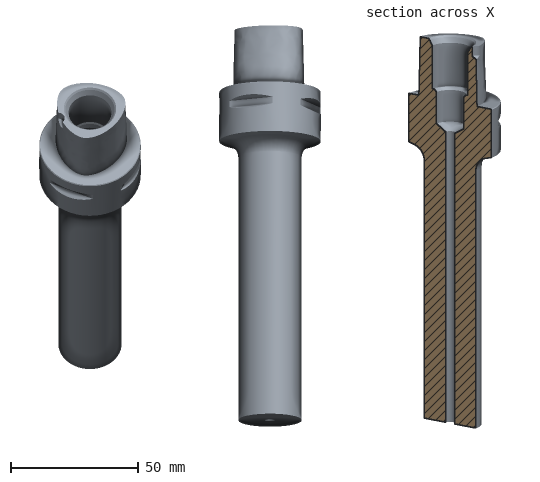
import cadquery as cq
import math

total_height = 156.0
taper_height = 24.0
flange_height = 20.0
flange_top = total_height - taper_height
flange_bottom = flange_top - flange_height

flange_radius = 20.0
flange_chamfer = 0.3
shank_radius = 12.5
neck_radius = 5.8
neck_cone_angle = 15.0

taper_base_radius = 14.0
taper_slope = 1 / 40
taper_top_radius = taper_base_radius - taper_height * taper_slope
lobe_height = 1.0

bore_mouth_radius = 10.3
mouth_chamfer = 0.6
lead_in_height = 2.0
bore_radius = 8.5
bore_depth = 20.3
drill_mouth_radius = 7.5
drill_chamfer = 1.1
drill_radius = drill_mouth_radius - drill_chamfer
drill_depth = 34.3
drill_tip_angle = 118.0
coolant_radius = 2.0

notch_radius = 2.7
notch_center_y = -13.4
notch_depth = 3.9
notch_tip_angle = 118.0

slot_count = 4
slot_height = 124.5
slot_floor_distance = 17.6
slot_floor_width = 2.5
slot_flank_angle = 30.0


def make_body():
    """Shank, concave neck and flange, revolved about Z."""
    slope = math.radians(neck_cone_angle)
    neck_end_x = shank_radius + neck_radius * (1 - math.sin(slope))
    underside_drop = (flange_radius - neck_end_x) * math.tan(slope)
    neck_end_z = flange_bottom - underside_drop
    neck_center_x = shank_radius + neck_radius
    neck_center_z = neck_end_z - neck_radius * math.cos(slope)
    middle_angle = (math.pi + math.pi / 2 + slope) / 2
    neck_middle = (
        neck_center_x + neck_radius * math.cos(middle_angle),
        neck_center_z + neck_radius * math.sin(middle_angle),
    )
    return (
        cq.Workplane("XZ")
        .lineTo(shank_radius, 0)
        .lineTo(shank_radius, neck_center_z)
        .threePointArc(neck_middle, (neck_end_x, neck_end_z))
        .lineTo(flange_radius, flange_bottom)
        .lineTo(flange_radius, flange_top - flange_chamfer)
        .lineTo(flange_radius - flange_chamfer, flange_top)
        .lineTo(0, flange_top)
        .close()
        .revolve(360, (0, 0), (0, 1))
    )


def lobe_point(turn, mean_radius):
    """Point of the three-lobed outline at the given turn (0 to 1) counterclockwise from -Y."""
    angle = 2 * math.pi * turn - math.pi / 2
    reach = mean_radius - lobe_height * math.sin(3 * angle)
    sideways = -3 * lobe_height * math.cos(3 * angle)
    return (
        reach * math.cos(angle) - sideways * math.sin(angle),
        reach * math.sin(angle) + sideways * math.cos(angle),
    )


def make_taper():
    """Lobed taper lofted from the flange face to the top."""
    return (
        cq.Workplane("XY", origin=(0, 0, flange_top))
        .parametricCurve(lambda turn: lobe_point(turn, taper_base_radius))
        .workplane(offset=taper_height)
        .parametricCurve(lambda turn: lobe_point(turn, taper_top_radius))
        .loft(ruled=True)
    )


def make_bore():
    """Stepped bore ending in a drill cone and a coolant hole through the shank."""
    bore_floor = total_height - bore_depth
    drill_floor = total_height - drill_depth
    cone_depth = (drill_radius - coolant_radius) / math.tan(math.radians(drill_tip_angle / 2))
    return (
        cq.Workplane("XZ")
        .lineTo(coolant_radius, 0)
        .lineTo(coolant_radius, drill_floor - cone_depth)
        .lineTo(drill_radius, drill_floor)
        .lineTo(drill_radius, bore_floor - drill_chamfer)
        .lineTo(drill_mouth_radius, bore_floor)
        .lineTo(bore_radius, bore_floor)
        .lineTo(bore_radius, total_height - mouth_chamfer - lead_in_height)
        .lineTo(bore_mouth_radius - mouth_chamfer, total_height - mouth_chamfer)
        .lineTo(bore_mouth_radius, total_height)
        .lineTo(0, total_height)
        .close()
        .revolve(360, (0, 0), (0, 1))
    )


def make_notch():
    """Vertical round notch with a conical bottom."""
    cone_depth = notch_radius / math.tan(math.radians(notch_tip_angle / 2))
    return (
        cq.Workplane("XZ")
        .moveTo(0, -notch_depth - cone_depth)
        .lineTo(notch_radius, -notch_depth)
        .lineTo(notch_radius, 0)
        .lineTo(0, 0)
        .close()
        .revolve(360, (0, 0), (0, 1))
        .translate((0, notch_center_y, total_height))
    )


def make_slot(angle):
    """Straight flat-floored slot with sloped flanks, facing the given angle."""
    depth = flange_radius - slot_floor_distance
    half_floor = slot_floor_width / 2
    half_mouth = half_floor + depth * math.tan(math.radians(slot_flank_angle))
    return (
        cq.Workplane("XZ")
        .moveTo(slot_floor_distance, slot_height - half_floor)
        .lineTo(flange_radius, slot_height - half_mouth)
        .lineTo(flange_radius, slot_height + half_mouth)
        .lineTo(slot_floor_distance, slot_height + half_floor)
        .close()
        .extrude(flange_radius, both=True)
        .rotate((0, 0, 0), (0, 0, 1), angle)
    )


result = make_body().union(make_taper()).cut(make_bore()).cut(make_notch())
for slot_index in range(slot_count):
    result = result.cut(make_slot((slot_index + 0.5) * 360 / slot_count))